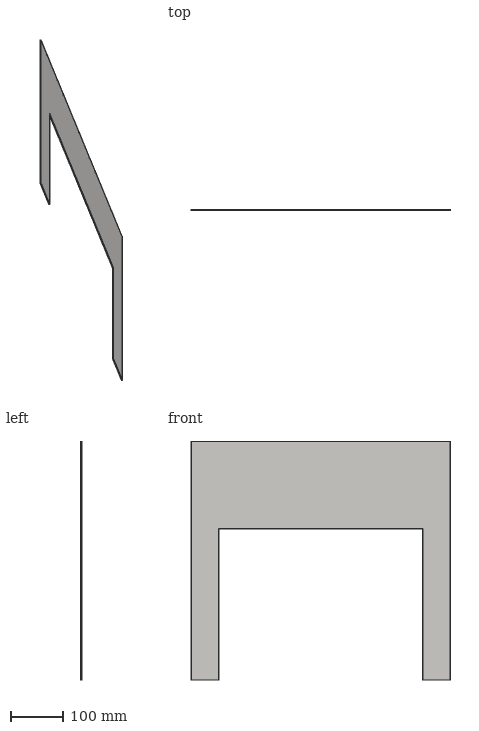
import cadquery as cq

panel_width = 494.0
panel_thickness = 2.0
panel_height = 455.0

leg_width = 53.0
top_band_height = 167.0
opening_width = panel_width - 2 * leg_width
opening_height = panel_height - top_band_height


def make_panel():
    """Flat upright plate standing on Z = 0, centred on X and Y."""
    return cq.Workplane("XY").box(
        panel_width, panel_thickness, panel_height, centered=(True, True, False)
    )


def make_opening():
    """Block that removes the opening through the full thickness."""
    return cq.Workplane("XY").box(
        opening_width, panel_thickness, opening_height, centered=(True, True, False)
    )


result = make_panel().cut(make_opening())